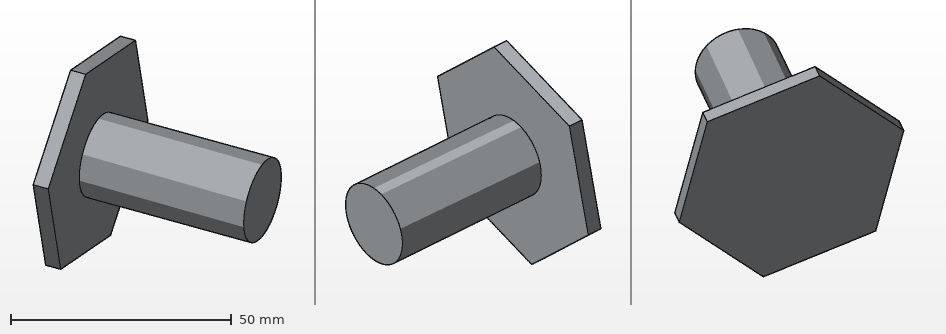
import cadquery as cq
import math

total_length = 45.0
plate_thickness = 3.8
plate_height = 53.45
plate_tilt = 13.9
stem_diameter = 20.0

corner_radius = plate_height / 2 / math.cos(math.radians(plate_tilt))
corner_count = 6


def hexagon_corner(index):
    """Corner of the tilted hexagon as (Y, Z), counted from the topmost one."""
    angle = math.radians(plate_tilt + index * 360 / corner_count)
    return -corner_radius * math.sin(angle), corner_radius * math.cos(angle)


plate_corners = [hexagon_corner(index) for index in range(corner_count)]
plate = cq.Workplane("YZ").polyline(plate_corners).close().extrude(plate_thickness)

stem = cq.Workplane("YZ").circle(stem_diameter / 2).extrude(total_length)

result = plate.union(stem)